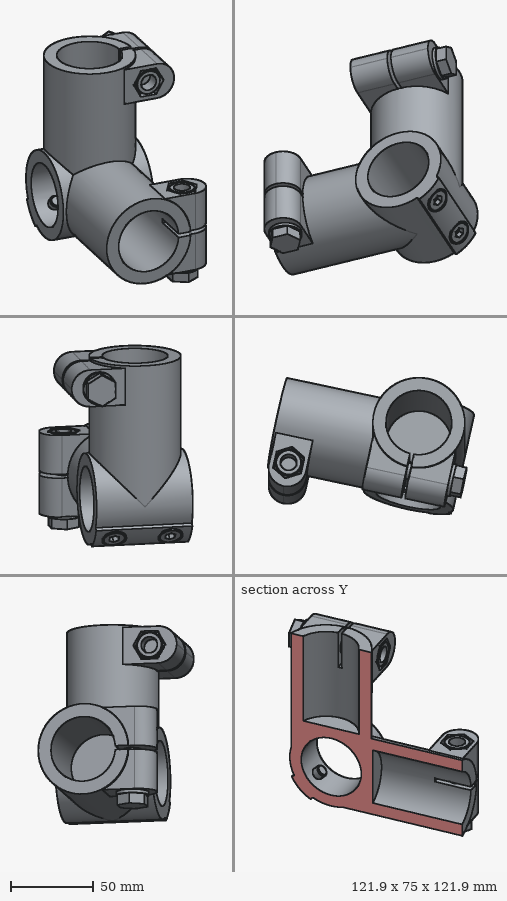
import cadquery as cq
import math


overall = 121.9

tube_diameter = 56.0
tube_radius = tube_diameter / 2
bore_diameter = 40.0
through_length = 60.0
socket_floor = tube_radius
arm_end = socket_floor + through_length

ear_width = 22.9
ear_half_span = 25.5
full_round_margin = 0.01
ear_rounding = ear_width / 2 - full_round_margin
ear_center = 75.0
upright_ear_reach = 45.0
side_ear_reach = 43.0
slit_width = 2.4
slit_end = ear_center - ear_width / 2

bolt_y = tube_radius
shank_diameter = 10.0
washer_diameter = 20.0
washer_thickness = 2.1
head_across_flats = 17.0
head_height = overall - arm_end - ear_half_span - washer_thickness

nut_pocket_across_flats = 17.3
nut_pocket_depth = 9.0
nut_seat = ear_half_span - nut_pocket_depth
nut_across_flats = 16.3
nut_hexagon_height = 6.0
nut_corner_chamfer_angle = 30
nut_height = nut_pocket_depth
nut_collar_diameter = 15.6
nut_face_diameter = 15.0
nut_collar_chamfer_height = 0.6

pad_radius = 30.0
pad_width = 18.0

screw_spacing = 35.0
screw_face_radius = 29.6
screw_head_diameter = 13.0
screw_head_height = 5.0
screw_tip_diameter = 7.5
screw_tip_chamfer = 0.7
screw_length = 14.9
screw_recess_diameter = 15.0
screw_recess_radius = 28.0
hex_socket_across_flats = 5.9
hex_socket_depth = 3.7


def hexagon_diameter(across_flats):
    """Diameter of the circle through the corners of a hexagon."""
    return across_flats / math.cos(math.pi / 6)


def swap_x_and_z(shape):
    """Mirror a shape across the plane X = Z."""
    return shape.rotate((0, 0, 0), (1, 0, 1), 180).mirror("XZ")


def toward_pad(shape):
    """Turn a shape pointing along +Z so that it points at the pad, midway between -X and -Z."""
    return shape.rotate((0, 0, 0), (0, 1, 0), -135)


def across_ear(x):
    """Workplane facing +X at the given X, centered on the bolt of the upright ear."""
    return cq.Workplane("YZ", origin=(x, bolt_y, ear_center))



def arm_body(ear_reach):
    tube = cq.Workplane("XY").circle(tube_radius).extrude(arm_end).rotate((0, 0, 0), (0, 0, 1), 90)
    ear = (
        cq.Workplane("XY")
        .box(2 * ear_half_span, ear_reach, ear_width, centered=(True, False, True))
        .edges("|X and >Y")
        .fillet(ear_rounding)
        .translate((0, 0, ear_center))
    )
    return tube.union(ear)


def arm_cuts():
    depth = arm_end - socket_floor
    bore = cq.Workplane("XY", origin=(0, 0, socket_floor)).circle(bore_diameter / 2).extrude(depth)
    slit = (
        cq.Workplane("XY", origin=(0, 0, slit_end))
        .box(slit_width, upright_ear_reach, arm_end - slit_end, centered=(True, False, False))
    )
    nut_pocket = (
        across_ear(nut_seat)
        .polygon(6, hexagon_diameter(nut_pocket_across_flats))
        .extrude(nut_pocket_depth)
    )
    return bore.union(slit).union(nut_pocket)



def clamp_bolt():
    washer = across_ear(-ear_half_span).circle(washer_diameter / 2).extrude(-washer_thickness)
    head = (
        across_ear(-ear_half_span - washer_thickness)
        .polygon(6, hexagon_diameter(head_across_flats))
        .extrude(-head_height)
        .rotate((0, bolt_y, ear_center), (1, bolt_y, ear_center), 90)
    )
    shank = across_ear(-ear_half_span).circle(shank_diameter / 2).extrude(ear_half_span + nut_seat)
    return washer.union(head).union(shank).union(nut())


def nut():
    corner_diameter = hexagon_diameter(nut_across_flats)
    corner_chamfer = (corner_diameter - nut_collar_diameter) / 2
    corner_chamfer_height = corner_chamfer * math.tan(math.radians(nut_corner_chamfer_angle))
    chamfered_blank = (
        across_ear(nut_seat)
        .circle(corner_diameter / 2)
        .extrude(nut_hexagon_height)
        .faces(">X")
        .chamfer(corner_chamfer_height, corner_chamfer)
    )
    hexagon = across_ear(nut_seat).polygon(6, corner_diameter).extrude(nut_hexagon_height)
    collar = (
        across_ear(nut_seat)
        .circle(nut_collar_diameter / 2)
        .extrude(nut_height)
        .faces(">X")
        .chamfer(nut_collar_chamfer_height, (nut_collar_diameter - nut_face_diameter) / 2)
    )
    thread = across_ear(nut_seat).circle(shank_diameter / 2).extrude(nut_height)
    return hexagon.intersect(chamfered_blank).union(collar).cut(thread)



def pad():
    slab = cq.Workplane("XY").box(pad_width, through_length, pad_radius, centered=(True, True, False))
    limit = cq.Workplane("XZ").circle(pad_radius).extrude(through_length / 2, both=True)
    return toward_pad(slab.intersect(limit))


def across_pad(y, radius):
    """Workplane facing +Z at the given distance from the through socket's axis."""
    return cq.Workplane("XY", origin=(0, y, radius))


def screw_recess(y):
    recess = (
        across_pad(y, screw_recess_radius)
        .circle(screw_recess_diameter / 2)
        .extrude(pad_radius - screw_recess_radius)
        .faces("<Z")
        .chamfer((screw_recess_diameter - screw_head_diameter) / 2)
    )
    return toward_pad(recess)


def set_screw(y):
    head = across_pad(y, screw_face_radius).circle(screw_head_diameter / 2).extrude(-screw_head_height)
    tip = (
        across_pad(y, screw_face_radius)
        .circle(screw_tip_diameter / 2)
        .extrude(-screw_length)
        .faces("<Z")
        .chamfer(screw_tip_chamfer)
    )
    return toward_pad(head.union(tip))


def hex_socket(y):
    socket = (
        across_pad(y, screw_face_radius)
        .polygon(6, hexagon_diameter(hex_socket_across_flats))
        .extrude(-hex_socket_depth)
    )
    return toward_pad(socket)



through_tube = cq.Workplane("XZ").circle(tube_radius).extrude(through_length / 2, both=True)
through_bore = cq.Workplane("XZ").circle(bore_diameter / 2).extrude(through_length / 2, both=True)

result = (
    through_tube
    .union(arm_body(upright_ear_reach))
    .union(swap_x_and_z(arm_body(side_ear_reach)))
    .union(pad())
    .cut(through_bore)
    .cut(arm_cuts())
    .cut(swap_x_and_z(arm_cuts()))
    .union(clamp_bolt())
    .union(swap_x_and_z(clamp_bolt()))
)

for screw_y in (-screw_spacing / 2, screw_spacing / 2):
    result = result.cut(screw_recess(screw_y)).union(set_screw(screw_y)).cut(hex_socket(screw_y))